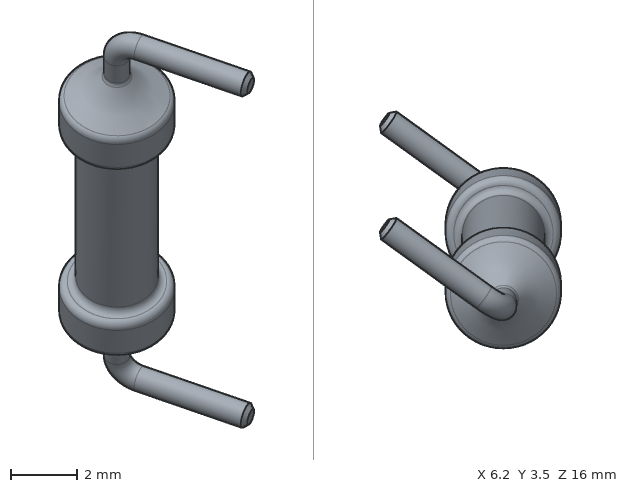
import cadquery as cq
import math

body_radius = 1.25
cap_radius = 1.75
cap_inner_z = 3.5
cap_band_top_z = 4.8
cap_fillet = (cap_radius - body_radius) / 2
shoulder_turn = math.radians(66.4)

wire_radius = 0.4
overall_height = 16.04
lead_reach = 4.45
bend_radius = 0.75
tip_chamfer = 0.15

neck_top_z = 6.07
neck_fillet = 0.22
neck_turn = math.radians(39)

lead_z = overall_height / 2 - wire_radius
diagonal = math.sqrt(0.5)
body_fillet_middle = math.radians(135)
step_middle = math.radians(-45)


def arc_point(center, radius, angle):
    """Point on an arc in the (radius, Z) half-plane."""
    return (center[0] + radius * math.cos(angle), center[1] + radius * math.sin(angle))


def upper_body():
    """Upper half of the body with its flared end cap."""
    body_fillet_center = (body_radius + cap_fillet, cap_inner_z - cap_fillet)
    step_center = (cap_radius - cap_fillet, cap_inner_z + cap_fillet)
    shoulder_center = (cap_radius - cap_fillet, cap_band_top_z)
    neck_center = (wire_radius + neck_fillet, neck_top_z)

    shoulder_end = arc_point(shoulder_center, cap_fillet, shoulder_turn)
    flare_end = arc_point(neck_center, neck_fillet, math.pi + neck_turn)

    profile = (
        cq.Workplane("XZ")
        .lineTo(body_radius, 0)
        .lineTo(body_radius, body_fillet_center[1])
        .threePointArc(
            arc_point(body_fillet_center, cap_fillet, body_fillet_middle),
            (body_fillet_center[0], cap_inner_z),
        )
        .threePointArc(
            arc_point(step_center, cap_fillet, step_middle),
            (cap_radius, step_center[1]),
        )
        .lineTo(cap_radius, cap_band_top_z)
        .threePointArc(arc_point(shoulder_center, cap_fillet, shoulder_turn / 2), shoulder_end)
        .tangentArcPoint(flare_end, relative=False)
        .threePointArc(
            arc_point(neck_center, neck_fillet, math.pi + neck_turn / 2),
            (wire_radius, neck_top_z),
        )
        .lineTo(0, neck_top_z)
        .close()
    )
    return profile.revolve(360, (0, 0, 0), (0, 1, 0))


def upper_lead():
    """Wire rising from the neck, bent toward +X, with a chamfered tip."""
    bend_start_z = lead_z - bend_radius
    bend_middle = (bend_radius * (1 - diagonal), bend_start_z + bend_radius * diagonal)
    path = (
        cq.Workplane("XZ")
        .moveTo(0, neck_top_z)
        .lineTo(0, bend_start_z)
        .threePointArc(bend_middle, (bend_radius, lead_z))
        .lineTo(lead_reach, lead_z)
    )
    wire = cq.Workplane("XY", origin=(0, 0, neck_top_z)).circle(wire_radius).sweep(path)
    return wire.faces(">X").chamfer(tip_chamfer)


upper_half = upper_body().union(upper_lead())
result = upper_half.union(upper_half.rotate((0, 0, 0), (1, 0, 0), 180))